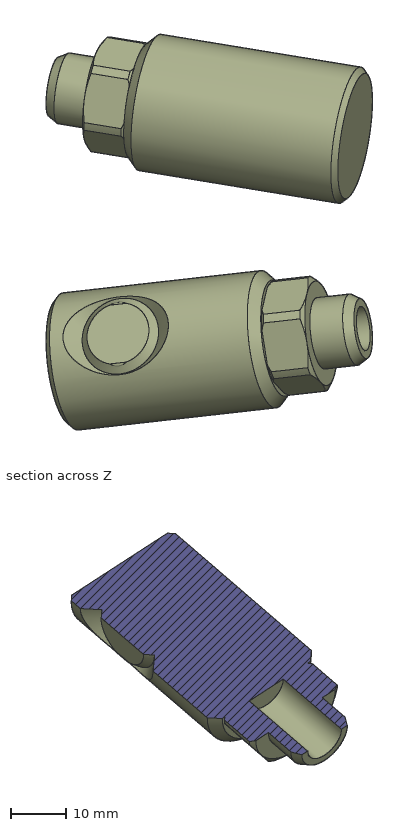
import cadquery as cq
import math

total_length = 56.5
nut_start = 8.0
body_start = 16.05

spigot_radius = 6.5
tip_chamfer_length = 1.8
tip_chamfer_angle = 30.0
bore_radius = 4.0
bore_depth = body_start

across_flats = 19.0
nut_corner_radius = 10.5
nut_front_angle = 30.0
nut_rear_chamfer = 0.5

body_radius = 12.5
body_front_chamfer = 1.9
body_rear_chamfer = 1.0

recess_x = 42.95
recess_mouth_radius = 10.0
button_radius = 5.9
button_top = 11.15


def revolve_about_x(points):
    """Turn an (x, radius) outline about the X axis."""
    return cq.Workplane("XY").polyline(points).close().revolve(360, (0, 0, 0), (1, 0, 0))


def make_spigot():
    tip_radius = spigot_radius - tip_chamfer_length * math.tan(math.radians(tip_chamfer_angle))
    return revolve_about_x([
        (0, 0),
        (0, tip_radius),
        (tip_chamfer_length, spigot_radius),
        (nut_start, spigot_radius),
        (nut_start, 0),
    ])


def make_nut():
    """Hexagon with flats facing +Z and -Z, trimmed by a chamfered cylinder."""
    hexagon_diameter = across_flats / math.cos(math.pi / 6)
    hexagon = (
        cq.Workplane("YZ", origin=(nut_start, 0, 0))
        .polygon(6, hexagon_diameter)
        .extrude(body_start - nut_start)
    )
    face_radius = across_flats / 2
    front_length = (nut_corner_radius - face_radius) * math.tan(math.radians(nut_front_angle))
    envelope = revolve_about_x([
        (nut_start, 0),
        (nut_start, face_radius),
        (nut_start + front_length, nut_corner_radius),
        (body_start - nut_rear_chamfer, nut_corner_radius),
        (body_start, nut_corner_radius - nut_rear_chamfer),
        (body_start, 0),
    ])
    return hexagon.intersect(envelope)


def make_body():
    return revolve_about_x([
        (body_start, 0),
        (body_start, body_radius - body_front_chamfer),
        (body_start + body_front_chamfer, body_radius),
        (total_length - body_rear_chamfer, body_radius),
        (total_length, body_radius - body_rear_chamfer),
        (total_length, 0),
    ])


def make_recess():
    """45-degree conical recess around a button whose 45-degree flank closes it in a V."""
    groove_width = (recess_mouth_radius - button_radius - (body_radius - button_top)) / 2
    groove_radius = button_radius + groove_width
    groove_bottom = button_top - groove_width
    outline = [
        (recess_x, button_top),
        (recess_x + button_radius, button_top),
        (recess_x + groove_radius, groove_bottom),
        (recess_x + recess_mouth_radius, body_radius),
        (recess_x, body_radius),
    ]
    return cq.Workplane("XY").polyline(outline).close().revolve(360, (recess_x, 0, 0), (recess_x, 1, 0))


bore = cq.Workplane("YZ").circle(bore_radius).extrude(bore_depth)

result = make_body().union(make_nut()).union(make_spigot()).cut(bore).cut(make_recess())